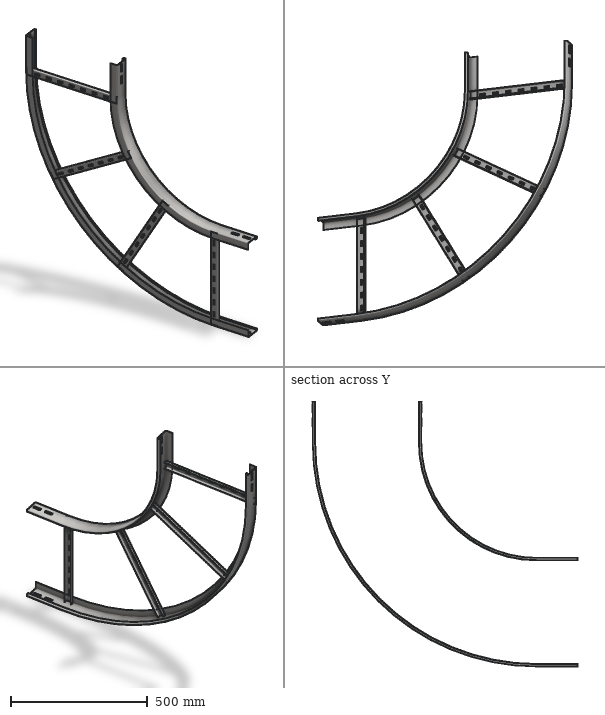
import cadquery as cq


overall_size = 970.0
ladder_width = 400.0
leg_length = 150.0
bend_center = overall_size - leg_length
outer_radius = bend_center
inner_radius = outer_radius - ladder_width

rail_height = 60.0
rail_flange = 30.0
rail_sheet = 1.5
rail_bend_radius = 4.4
lip_width = 11.0
lip_return = 11.0

leg_slot_length = 29.0
leg_slot_width = 9.0
leg_slot_end_distance = 25.0
leg_slot_pitch = 50.0
leg_slot_count = 2

rung_angles = (0, 30, 60, 90)
rung_width = 29.0
rung_depth = 15.0
rung_sheet = 1.5
rung_bend_radius = 2.0
rung_slot_length = 19.0
rung_slot_width = 7.0
rung_slot_span = 300.0
rung_slot_count = 7
rung_slot_pitch = rung_slot_span / (rung_slot_count - 1)
rung_length = ladder_width - 2 * rail_bend_radius
rung_front = rail_sheet - rail_height / 2


def sheet_section(points, outside_corners, inside_corners, bend_radius, sheet):
    """Flat XY face of a bent sheet; corners are given as indices into its points."""
    face = cq.Face.makeFromWires(cq.Wire.makePolygon([cq.Vector(x, y) for x, y in points], close=True))
    for corners, radius in ((outside_corners, bend_radius), (inside_corners, bend_radius - sheet)):
        places = [cq.Vector(*points[i]) for i in corners]
        rounded = [v for v in face.Vertices() if any((v.Center() - p).Length < sheet / 10 for p in places)]
        face = face.fillet2D(radius, rounded)
    return face


def rail_section(web_x, inward):
    """Channel with a wide front flange and a narrow back flange that ends in a returned lip."""
    front = -rail_height / 2
    back = rail_height / 2
    outline = [
        (rail_flange, front),
        (0, front),
        (0, back),
        (lip_width, back),
        (lip_width, back - lip_return),
        (lip_width - rail_sheet, back - lip_return),
        (lip_width - rail_sheet, back - rail_sheet),
        (rail_sheet, back - rail_sheet),
        (rail_sheet, front + rail_sheet),
        (rail_flange, front + rail_sheet),
    ]
    placed = [(web_x + inward * x, y) for x, y in outline]
    return sheet_section(placed, (1, 2, 3), (6, 7, 8), rail_bend_radius, rail_sheet)


def rail_leg(section, web_x):
    """Straight leg along +Z from the end of the bend, with coupling slots through its web."""
    leg = cq.Workplane(cq.Solid.extrudeLinear(section, cq.Vector(0, 0, leg_length)))
    leg = leg.translate((0, 0, bend_center))
    for i in range(leg_slot_count):
        slot_z = overall_size - leg_slot_end_distance - i * leg_slot_pitch
        slot = cq.Workplane().box(4 * rail_sheet, leg_slot_width, leg_slot_length)
        leg = leg.cut(slot.translate((web_x, 0, slot_z)))
    return leg


def make_rail(web_x, inward):
    """One rail: a quarter-circle bend with a straight leg at each end."""
    section = rail_section(web_x, inward)
    bend_axis_start = cq.Vector(bend_center, 0, 0)
    bend_axis_end = cq.Vector(bend_center, -10, 0)
    bend = cq.Workplane(cq.Solid.revolve(section, 90, bend_axis_start, bend_axis_end))
    bend = bend.translate((0, 0, bend_center))
    upright_leg = rail_leg(section, web_x)
    level_leg = upright_leg.mirror(cq.Vector(1, 0, -1))
    return bend.union(upright_leg, clean=False).union(level_leg, clean=False)


def make_rung(angle):
    """Slotted channel along a radius of the bend, open to the back."""
    half = rung_width / 2
    outline = [
        (-half, rung_depth),
        (-half, 0),
        (half, 0),
        (half, rung_depth),
        (half - rung_sheet, rung_depth),
        (half - rung_sheet, rung_sheet),
        (rung_sheet - half, rung_sheet),
        (rung_sheet - half, rung_depth),
    ]
    section = sheet_section(outline, (1, 2), (5, 6), rung_bend_radius, rung_sheet)
    rung = cq.Workplane(cq.Solid.extrudeLinear(section, cq.Vector(0, 0, rung_length)))
    slots = (
        cq.Workplane("XZ")
        .center(0, rung_length / 2)
        .rarray(10, rung_slot_pitch, 1, rung_slot_count)
        .rect(rung_slot_width, rung_slot_length)
        .extrude(rung_sheet, both=True)
    )
    rung = rung.cut(slots)
    rung = rung.translate((0, rung_front, inner_radius + rail_bend_radius))
    rung = rung.rotate((0, 0, 0), (0, 1, 0), -90 - angle)
    return rung.translate((bend_center, 0, bend_center))


outer_rail = make_rail(bend_center - outer_radius, 1)
inner_rail = make_rail(bend_center - inner_radius, -1)
rungs = [make_rung(angle) for angle in rung_angles]

result = cq.Compound.makeCompound(
    [outer_rail.val(), inner_rail.val(), *[rung.val() for rung in rungs]]
)